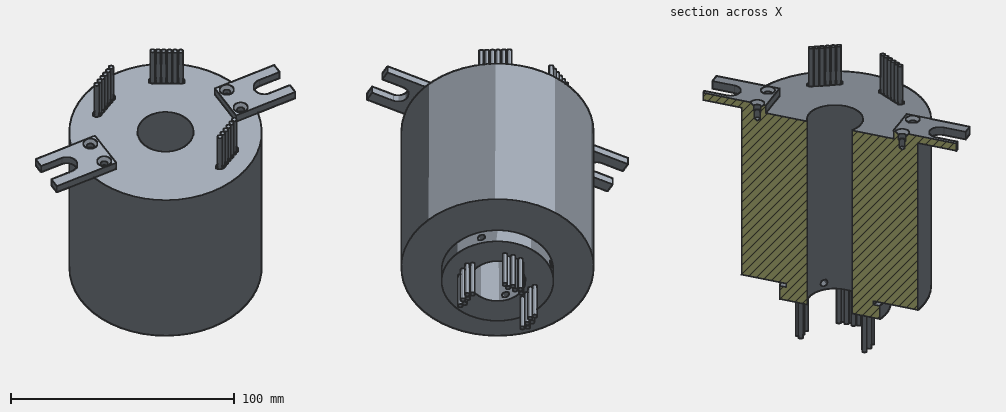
import cadquery as cq
import math

wire_length = 19.0
collar_height = 7.0
neck_height = 1.6
body_height = 86.0
body_diameter = 86.0
neck_diameter = 44.0
collar_diameter = 50.0
bore_diameter = 25.0

collar_bottom = wire_length
collar_top = collar_bottom + collar_height
body_bottom = collar_top + neck_height
body_top = body_bottom + body_height

set_screw_diameter = 3.3
set_screw_angles = (45, 135, 225, 315)

plate_angles = (0, 180)
plate_tip = 61.0
plate_length = 30.4
plate_width = 19.5
plate_thickness = 4.0
fork_width = 9.4
fork_depth = 15.2

screw_spacing = 12.7
screw_offset = 34.9
countersink_diameter = 6.4
countersink_angle = 90
clearance_diameter = 3.3
pilot_diameter = 2.5
pilot_depth = 4.0
drill_tip_angle = 118

wire_diameter = 2.1
wires_per_group = 6

top_group_angles = (30, 150, 210)
top_group_radius = 32.1
top_wire_pitch = 2.5
wire_slot_width = 3.6
wire_slot_depth = 0.7

bottom_group_angles = (90, 180, 270)
bottom_outer_radius = 17.0
bottom_inner_radius = 15.4
bottom_first_angle = -17.0
bottom_wire_step = 6.5


def cylinder(diameter, height, bottom, x=0.0, y=0.0):
    return cq.Workplane("XY", origin=(x, y, bottom)).circle(diameter / 2).extrude(height)


def turned(shape, angle):
    return shape.rotate((0, 0, 0), (0, 0, 1), angle)


def make_housing():
    body = cylinder(body_diameter, body_height, body_bottom)
    neck = cylinder(neck_diameter, neck_height, collar_top)
    collar = cylinder(collar_diameter, collar_height, collar_bottom)
    return body.union(neck).union(collar)


def make_set_screw_hole(angle):
    """Radial hole from the collar's rim to the bore."""
    hole = (
        cq.Workplane("YZ", origin=(0, 0, collar_bottom + collar_height / 2))
        .circle(set_screw_diameter / 2)
        .extrude(collar_diameter)
    )
    return turned(hole, angle)


def make_plate():
    """Plate on the +Y side, with a round-ended fork slot open at its tip."""
    plate = (
        cq.Workplane("XY", origin=(0, plate_tip - plate_length / 2, body_top))
        .rect(plate_width, plate_length)
        .extrude(plate_thickness)
    )
    fork = (
        cq.Workplane("XY", origin=(0, plate_tip, body_top))
        .slot2D(2 * fork_depth, fork_width, 90)
        .extrude(plate_thickness)
    )
    return plate.cut(fork)


def make_screw_hole(x):
    """Countersink and clearance hole in the plate, blind pilot hole with a drill tip in the body."""
    plate_top = body_top + plate_thickness
    countersink_radius = countersink_diameter / 2
    clearance_radius = clearance_diameter / 2
    pilot_radius = pilot_diameter / 2
    countersink_slope = math.tan(math.radians(countersink_angle / 2))
    countersink_depth = (countersink_radius - clearance_radius) / countersink_slope
    pilot_bottom = body_top - pilot_depth
    tip_length = pilot_radius / math.tan(math.radians(drill_tip_angle / 2))
    profile = (
        cq.Workplane("XZ")
        .moveTo(0, plate_top)
        .lineTo(countersink_radius, plate_top)
        .lineTo(clearance_radius, plate_top - countersink_depth)
        .lineTo(clearance_radius, body_top)
        .lineTo(pilot_radius, body_top)
        .lineTo(pilot_radius, pilot_bottom)
        .lineTo(0, pilot_bottom - tip_length)
        .close()
    )
    return profile.revolve(360, (0, 0, 0), (0, 1, 0)).translate((x, screw_offset, 0))


def make_top_slot():
    """Wire slot on the +X side, lying square to the radius."""
    slot_length = (wires_per_group - 1) * top_wire_pitch + wire_slot_width
    return (
        cq.Workplane("XY", origin=(top_group_radius, 0, body_top - wire_slot_depth))
        .slot2D(slot_length, wire_slot_width, 90)
        .extrude(wire_slot_depth)
    )


def make_top_wires():
    """Straight row of wires on the +X side, rising from the slot floor."""
    slot_floor = body_top - wire_slot_depth
    height = wire_length + wire_slot_depth
    wires = cq.Workplane("XY")
    for index in range(wires_per_group):
        y = (index - (wires_per_group - 1) / 2) * top_wire_pitch
        wires = wires.union(cylinder(wire_diameter, height, slot_floor, top_group_radius, y))
    return wires


def make_bottom_wires():
    """Wires on the +X side, alternating between two radii around the axis."""
    wires = cq.Workplane("XY")
    for index in range(wires_per_group):
        radius = bottom_inner_radius if index % 2 else bottom_outer_radius
        angle = math.radians(bottom_first_angle + index * bottom_wire_step)
        x = radius * math.cos(angle)
        y = radius * math.sin(angle)
        wires = wires.union(cylinder(wire_diameter, wire_length, 0, x, y))
    return wires


result = make_housing()

plate = make_plate()
screw_holes = make_screw_hole(-screw_spacing / 2).union(make_screw_hole(screw_spacing / 2))
for angle in plate_angles:
    result = result.union(turned(plate, angle)).cut(turned(screw_holes, angle))

for angle in set_screw_angles:
    result = result.cut(make_set_screw_hole(angle))

top_slot = make_top_slot()
top_wires = make_top_wires()
for angle in top_group_angles:
    result = result.cut(turned(top_slot, angle)).union(turned(top_wires, angle))

bottom_wires = make_bottom_wires()
for angle in bottom_group_angles:
    result = result.union(turned(bottom_wires, angle))

result = result.cut(cylinder(bore_diameter, body_top, 0))